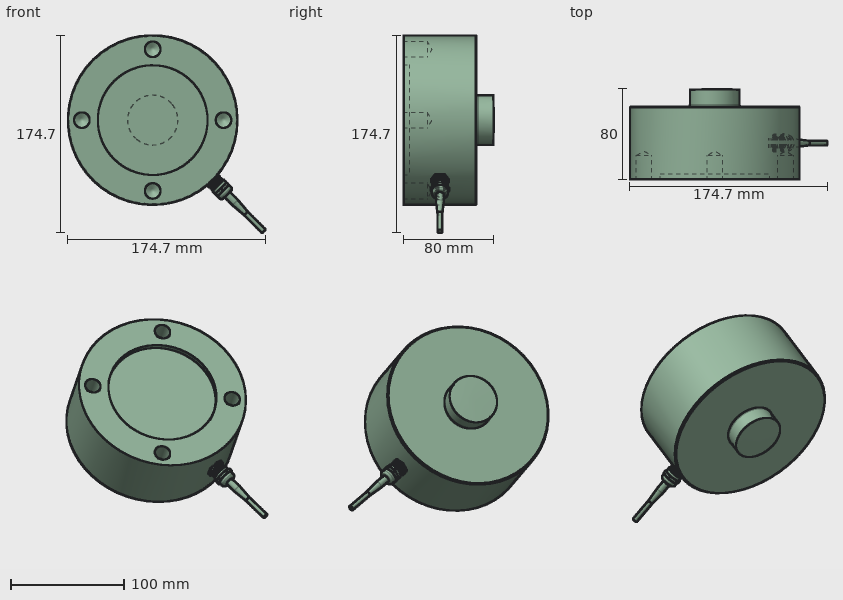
import cadquery as cq
import math

housing_diameter = 150.0
housing_length = 64.7
rear_chamfer = 1.0

recess_diameter = 97.0
recess_depth = 5.0

hole_diameter = 13.8
hole_depth = 21.0
hole_count = 4
hole_circle_radius = 62.5
drill_point_angle = 118.0

button_diameter = 44.0
button_top = 80.0
dome_rise = 0.7
flare_height = 1.7
flare_radius = 7.0

exit_y = 32.2
exit_angle = 45.0
gland_start = 74.0
base_hex_end = 77.0
base_collar_end = 78.5
nut_start = 81.6
nut_hex_start = 85.1
nut_hex_end = 88.0
nut_end = 93.1
sleeve_taper_start = 103.0
sleeve_end = 116.5

base_hex_width = 13.8
collar_diameter = 11.9
thread_diameter = 13.0
thread_root_diameter = 11.5
ridge_count = 2
nut_diameter = 14.3
nut_fillet = 2.1
sleeve_diameter = 6.8
cable_diameter = 4.5

overall_height = 174.7
tip_drop = overall_height - housing_diameter / 2
tip_corner_drop = cable_diameter / 2 * math.cos(math.radians(exit_angle))
cable_end = (tip_drop - tip_corner_drop) / math.sin(math.radians(exit_angle))


def cylinder_y(diameter, start, end):
    """Cylinder about the housing axis between two Y positions."""
    plane = cq.Plane(origin=(0, start, 0), xDir=(1, 0, 0), normal=(0, 1, 0))
    return cq.Workplane(plane).circle(diameter / 2).extrude(end - start)


exit_direction = cq.Vector(
    math.cos(math.radians(exit_angle)),
    0,
    -math.sin(math.radians(exit_angle)),
)


def exit_workplane(station):
    """Workplane across the cable exit line, with its local Y along the housing axis."""
    origin = exit_direction * station + cq.Vector(0, exit_y, 0)
    across = cq.Vector(0, 1, 0).cross(exit_direction)
    return cq.Workplane(cq.Plane(origin=origin, xDir=across, normal=exit_direction))


def exit_cylinder(diameter, start, end):
    return exit_workplane(start).circle(diameter / 2).extrude(end - start)


def exit_hexagon(width_across_flats, start, end):
    """Hexagonal prism with two corners pointing along the housing axis."""
    corner_diameter = width_across_flats / math.cos(math.pi / 6)
    profile = exit_workplane(start).transformed(rotate=(0, 0, 90)).polygon(6, corner_diameter)
    return profile.extrude(end - start)


def make_button():
    """Cylinder with a slight concave flare at its foot and a shallow domed top."""
    radius = button_diameter / 2
    flare_top = housing_length + flare_height
    foot_radius = radius + flare_radius - math.sqrt(flare_radius**2 - flare_height**2)
    shoulder = button_top - dome_rise
    dome_radius = (radius**2 + dome_rise**2) / (2 * dome_rise)
    half = radius / 2
    half_y = button_top - dome_radius + math.sqrt(dome_radius**2 - half**2)
    return (
        cq.Workplane("XY")
        .moveTo(0, housing_length)
        .lineTo(foot_radius, housing_length)
        .radiusArc((radius, flare_top), flare_radius)
        .lineTo(radius, shoulder)
        .threePointArc((half, half_y), (0, button_top))
        .close()
        .revolve(360, (0, 0, 0), (0, 1, 0))
    )


def make_mounting_holes():
    """Drill shapes: a cylinder ending in a cone, spaced evenly around the axis."""
    radius = hole_diameter / 2
    point_length = radius / math.tan(math.radians(drill_point_angle / 2))
    drill = (
        cq.Workplane("XY")
        .polyline([(0, 0), (radius, 0), (radius, hole_depth), (0, hole_depth + point_length)])
        .close()
        .revolve(360, (0, 0, 0), (0, 1, 0))
        .translate((hole_circle_radius, 0, 0))
    )
    holes = cq.Workplane("XY")
    for index in range(hole_count):
        holes = holes.add(drill.rotate((0, 0, 0), (0, 1, 0), index * 360 / hole_count))
    return holes.combine()


def make_gland():
    """Cable gland: hexagon base, exposed thread, clamping nut and tapered bend sleeve."""
    base = exit_hexagon(base_hex_width, gland_start, base_hex_end)
    collar = exit_cylinder(collar_diameter, base_hex_end, base_collar_end)
    thread = exit_cylinder(thread_root_diameter, base_collar_end, nut_start)
    ridge_pitch = (nut_start - base_collar_end) / ridge_count
    for index in range(ridge_count):
        ridge_start = base_collar_end + index * ridge_pitch
        ridge = exit_cylinder(thread_diameter, ridge_start, ridge_start + ridge_pitch / 2)
        thread = thread.union(ridge)

    nut = exit_cylinder(nut_diameter, nut_start, nut_end)
    nut = nut.faces(cq.selectors.DirectionMinMaxSelector(exit_direction)).edges().fillet(nut_fillet)
    nut = nut.union(exit_hexagon(nut_diameter, nut_hex_start, nut_hex_end))

    sleeve = exit_cylinder(sleeve_diameter, nut_end, sleeve_taper_start)
    taper = (
        exit_workplane(sleeve_taper_start)
        .circle(sleeve_diameter / 2)
        .workplane(offset=sleeve_end - sleeve_taper_start)
        .circle(cable_diameter / 2)
        .loft()
    )
    return base.union(collar).union(thread).union(nut).union(sleeve).union(taper)


def make_housing(gland):
    """Drum and button in one piece, with a seat that matches the gland base."""
    drum = cylinder_y(housing_diameter, 0, housing_length).faces(">Y").edges().chamfer(rear_chamfer)
    recess = cylinder_y(recess_diameter, 0, recess_depth)
    return drum.union(make_button()).cut(recess).cut(make_mounting_holes()).cut(gland)


gland = make_gland()
housing = make_housing(gland)
cable = exit_cylinder(cable_diameter, sleeve_end, cable_end)

result = cq.Compound.makeCompound([housing.val(), gland.val(), cable.val()])